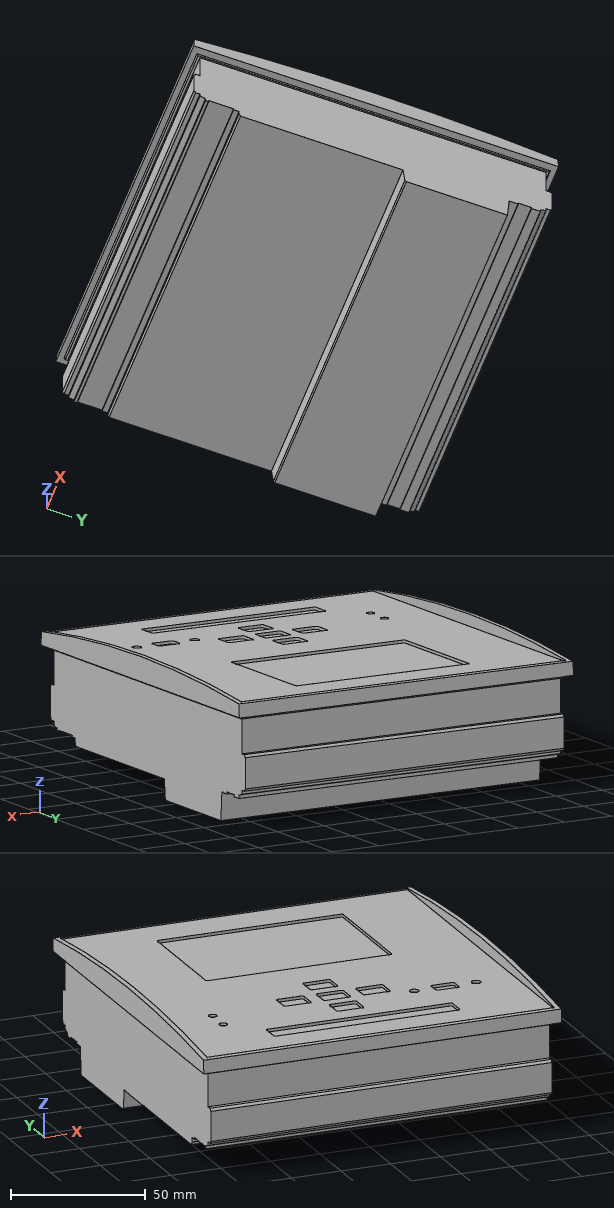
import cadquery as cq


BEZEL_X = 144.0
BEZEL_Y = 144.9
BEZEL_BOTTOM_Z = 43.0
RIM_EDGE_Z = 48.4
RIM_CROWN_Z = 52.7
RIM_WIDTH = 2.2
BEZEL_DRAFT = 0.3
FACE_Z = 48.1

RECESS_DEPTH = 1.2
CORNER_RADIUS = 0.7
WINDOW_X = 74.8
DISPLAY_Y = 47.5
DISPLAY_CENTER_Y = 31.5
LABEL_Y = 8.1
LABEL_CENTER_Y = -53.6
KEY_X = 10.9
KEY_Y = 8.0
KEYPAD_CENTER_Y = -25.0
KEY_PITCH_X = 16.0
KEY_PITCH_Y = 12.6
PORT_X = 9.3
PORT_Y = 5.6
PORT_CENTER = (42.0, -32.0)
SCREW_HOLE_DIAMETER = 3.5
SCREW_HOLE_OFFSET = 12.5
LED_DIAMETER = 3.0
LED_X = -49.8
LED_YS = (-28.1, -38.2)

GASKET_X = 138.5
GASKET_TOP_Y = 140.2
GASKET_BOTTOM_Y = 139.4
GASKET_BOTTOM_Z = 41.9

HOUSING_X = 137.3
BODY_Y = HOUSING_X / 2
LIP_Y = 71.1
LIP_TOP_Z = 28.4
LIP_BOTTOM_Z = 14.5
LIP_CHAMFER_Y = 0.7
LIP_CHAMFER_Z = 1.0
WALL_BOTTOM_Z = 13.0
BEVEL_BOTTOM_Z = 12.3
BEAD_OUTER_Y = 66.5
BEAD_BOTTOM_Z = 11.0
GROOVE_Z = 11.7
FRONT_GROOVE_Y = (-65.2, -55.3)
BACK_GROOVE_Y = (62.9, 57.7)
FOOT_Y = -53.2
FOOT_BOTTOM_Z = 8.0
FOOT_BEVEL_Y = 0.6
FOOT_BEVEL_Z = 1.3

BLOCK_FRONT_Y = 11.9
BLOCK_BACK_Y = 54.0
BLOCK_TAPER = 0.7
BLOCK_EDGE = 0.6


def extrude_along_x(profile, length):
    """Extrude a YZ profile to both sides of the plane X = 0."""
    return profile.extrude(length / 2, both=True)


def face_pocket(size_x, size_y, center):
    """Rectangular cutter with rounded corners, sunk into the face."""
    return (
        cq.Workplane("XY", origin=(*center, FACE_Z - RECESS_DEPTH))
        .rect(size_x, size_y)
        .extrude(RECESS_DEPTH)
        .edges("|Z")
        .fillet(CORNER_RADIUS)
    )


def face_hole(diameter, center):
    """Round cutter sunk into the face."""
    return (
        cq.Workplane("XY", origin=(*center, FACE_Z - RECESS_DEPTH))
        .circle(diameter / 2)
        .extrude(RECESS_DEPTH)
    )


def face_recesses():
    """All cutters for the display, label, keys, port, screw holes and LEDs."""
    cutters = [
        face_pocket(WINDOW_X, DISPLAY_Y, (0, DISPLAY_CENTER_Y)),
        face_pocket(WINDOW_X, LABEL_Y, (0, LABEL_CENTER_Y)),
        face_pocket(PORT_X, PORT_Y, PORT_CENTER),
    ]
    for column, row in ((0, 0), (1, 0), (-1, 0), (0, 1), (0, -1)):
        center = (column * KEY_PITCH_X, KEYPAD_CENTER_Y + row * KEY_PITCH_Y)
        cutters.append(face_pocket(KEY_X, KEY_Y, center))
    for side in (-1, 1):
        center = (PORT_CENTER[0] + side * SCREW_HOLE_OFFSET, PORT_CENTER[1])
        cutters.append(face_hole(SCREW_HOLE_DIAMETER, center))
    for led_y in LED_YS:
        cutters.append(face_hole(LED_DIAMETER, (LED_X, led_y)))
    return cutters


def make_bezel():
    """Frame with an arched rim around a flat, recessed face."""
    half_y = BEZEL_Y / 2
    rim_half_y = half_y - BEZEL_DRAFT
    arched_block = (
        cq.Workplane("YZ")
        .moveTo(-half_y, BEZEL_BOTTOM_Z)
        .lineTo(half_y, BEZEL_BOTTOM_Z)
        .lineTo(rim_half_y, RIM_EDGE_Z)
        .threePointArc((0, RIM_CROWN_Z), (-rim_half_y, RIM_EDGE_Z))
        .close()
    )
    well = (
        cq.Workplane("XY", origin=(0, 0, FACE_Z))
        .rect(BEZEL_X - 2 * RIM_WIDTH, BEZEL_Y - 2 * RIM_WIDTH)
        .extrude(RIM_CROWN_Z - FACE_Z)
    )
    bezel = extrude_along_x(arched_block, BEZEL_X).cut(well)
    for cutter in face_recesses():
        bezel = bezel.cut(cutter)
    return bezel


def make_gasket():
    """Flat seal under the bezel, with sloped front and back edges."""
    profile = (
        cq.Workplane("YZ")
        .moveTo(-GASKET_TOP_Y / 2, BEZEL_BOTTOM_Z)
        .lineTo(GASKET_TOP_Y / 2, BEZEL_BOTTOM_Z)
        .lineTo(GASKET_BOTTOM_Y / 2, GASKET_BOTTOM_Z)
        .lineTo(-GASKET_BOTTOM_Y / 2, GASKET_BOTTOM_Z)
        .close()
    )
    return extrude_along_x(profile, GASKET_X)


def side_outline(side, groove_y):
    """Points down one side of the housing, from its top to the inner end of its groove."""
    groove_outer, groove_inner = groove_y
    return [
        (side * BODY_Y, GASKET_BOTTOM_Z),
        (side * BODY_Y, LIP_TOP_Z),
        (side * (LIP_Y - LIP_CHAMFER_Y), LIP_TOP_Z),
        (side * LIP_Y, LIP_TOP_Z - LIP_CHAMFER_Z),
        (side * LIP_Y, LIP_BOTTOM_Z + LIP_CHAMFER_Z),
        (side * (LIP_Y - LIP_CHAMFER_Y), LIP_BOTTOM_Z),
        (side * BODY_Y, LIP_BOTTOM_Z),
        (side * BODY_Y, WALL_BOTTOM_Z),
        (side * BEAD_OUTER_Y, BEVEL_BOTTOM_Z),
        (side * BEAD_OUTER_Y, BEAD_BOTTOM_Z),
        (groove_outer, BEAD_BOTTOM_Z),
        (groove_outer, GROOVE_Z),
        (groove_inner, GROOVE_Z),
        (groove_inner, BEAD_BOTTOM_Z),
    ]


def make_housing():
    """Housing of constant section along X, with the terminal block under its back half."""
    foot_and_block = [
        (FOOT_Y, BEAD_BOTTOM_Z),
        (FOOT_Y, FOOT_BOTTOM_Z + FOOT_BEVEL_Z),
        (FOOT_Y + FOOT_BEVEL_Y, FOOT_BOTTOM_Z),
        (BLOCK_FRONT_Y, FOOT_BOTTOM_Z),
        (BLOCK_FRONT_Y + BLOCK_TAPER, BLOCK_EDGE),
        (BLOCK_FRONT_Y + BLOCK_TAPER + BLOCK_EDGE, 0),
        (BLOCK_BACK_Y - BLOCK_TAPER, 0),
        (BLOCK_BACK_Y, BEAD_BOTTOM_Z),
    ]
    front = side_outline(-1, FRONT_GROOVE_Y)
    back = side_outline(1, BACK_GROOVE_Y)
    profile = cq.Workplane("YZ").polyline(front + foot_and_block + back[::-1]).close()
    return extrude_along_x(profile, HOUSING_X)


bezel = make_bezel()
gasket = make_gasket()
housing = make_housing()
result = cq.Compound.makeCompound([bezel.val(), gasket.val(), housing.val()])